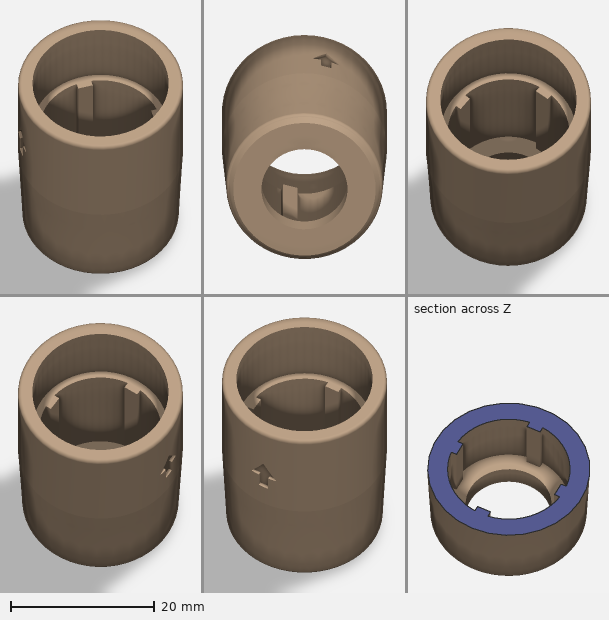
import cadquery as cq

height = 30.0
outer_radius = 23.0 / 2
top_round = 0.5
taper_start_z = height / 2
taper_end_z = 1.38
taper_end_radius = 10.92
chamfer_top_z = 0.72
chamfer_top_radius = 10.55
bottom_radius = 9.93
rounding_mid_z = 1.0
rounding_mid_radius = 10.83

socket_diameter = 19.0
socket_depth = height / 3
recess_diameter = 17.0
floor_thickness = 3.0
through_diameter = 12.0

tab_count = 4
tab_width = 2.1
tab_tip_radius = 7.62

arrow_base_z = 18.5
arrow_shoulder_z = 20.73
arrow_tip_z = 23.52
arrow_head_width = 3.95
arrow_stem_width = 1.5
arrow_depth = 0.5

ledge_z = height - socket_depth


def make_body():
    """Revolve the outer profile: straight top half, tapered bottom half."""
    profile = (
        cq.Workplane("XZ")
        .lineTo(bottom_radius, 0)
        .lineTo(chamfer_top_radius, chamfer_top_z)
        .threePointArc((rounding_mid_radius, rounding_mid_z), (taper_end_radius, taper_end_z))
        .lineTo(outer_radius, taper_start_z)
        .lineTo(outer_radius, height)
        .lineTo(0, height)
        .close()
    )
    body = profile.revolve(360, (0, 0, 0), (0, 1, 0))
    return body.faces(">Z").edges().fillet(top_round)


def make_bore(diameter, bottom_z):
    """Cylinder that cuts from the given height up through the top."""
    return cq.Workplane("XY").workplane(offset=bottom_z).circle(diameter / 2).extrude(height - bottom_z)


def make_tab(angle):
    """Block reaching inward from the recess wall, buried in the wall behind it."""
    length = socket_diameter / 2 - tab_tip_radius
    return (
        cq.Workplane("XY")
        .workplane(offset=floor_thickness)
        .center(tab_tip_radius + length / 2, 0)
        .rect(length, tab_width)
        .extrude(ledge_z - floor_thickness)
        .rotate((0, 0, 0), (0, 0, 1), angle)
    )


def make_arrow():
    """Upward arrow prism whose inner face is the flat floor of the engraving."""
    half_head = arrow_head_width / 2
    half_stem = arrow_stem_width / 2
    return (
        cq.Workplane("XZ", origin=(0, arrow_depth - outer_radius, 0))
        .polyline([
            (-half_stem, arrow_base_z),
            (half_stem, arrow_base_z),
            (half_stem, arrow_shoulder_z),
            (half_head, arrow_shoulder_z),
            (0, arrow_tip_z),
            (-half_head, arrow_shoulder_z),
            (-half_stem, arrow_shoulder_z),
        ])
        .close()
        .extrude(2 * arrow_depth)
    )


result = make_body()
result = result.cut(make_bore(socket_diameter, ledge_z))
result = result.cut(make_bore(recess_diameter, floor_thickness))
result = result.cut(make_bore(through_diameter, 0))
for index in range(tab_count):
    result = result.union(make_tab(index * 360 / tab_count))
result = result.cut(make_arrow())